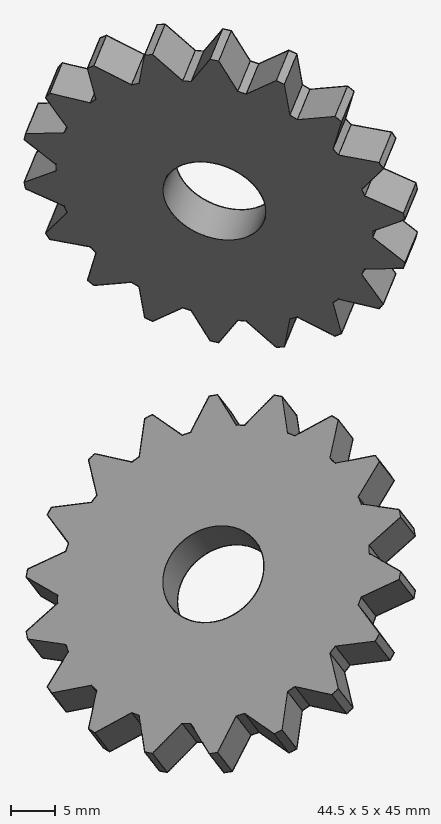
import cadquery as cq
import math

thickness = 5.0
tooth_count = 18
tip_radius = 22.5
root_radius = 18.5
tip_width = 1.0
root_width = 1.0
bore_diameter = 12.0

tooth_pitch = 360.0 / tooth_count
first_tooth_angle = 90.0


def flat_ends(radius, width, angle):
    """Both ends of a flat of the given width, square to the radius at this angle (degrees)."""
    cos_a = math.cos(math.radians(angle))
    sin_a = math.sin(math.radians(angle))
    half = width / 2
    start = (radius * cos_a + half * sin_a, radius * sin_a - half * cos_a)
    end = (radius * cos_a - half * sin_a, radius * sin_a + half * cos_a)
    return [start, end]


def wheel_outline():
    """Closed outline: a flat tip and a flat root for every tooth, joined by straight flanks."""
    points = []
    for tooth in range(tooth_count):
        tooth_angle = first_tooth_angle + tooth * tooth_pitch
        root_angle = tooth_angle + tooth_pitch / 2
        points += flat_ends(tip_radius, tip_width, tooth_angle)
        points += flat_ends(root_radius, root_width, root_angle)
    return points


def toothed_disc():
    """Toothed disc with its axis along Y, centred on the origin."""
    return cq.Workplane("XZ").polyline(wheel_outline()).close().extrude(thickness / 2, both=True)


def bore():
    """Cylinder that cuts the central through hole."""
    return cq.Workplane("XZ").circle(bore_diameter / 2).extrude(thickness / 2, both=True)


result = toothed_disc().cut(bore())